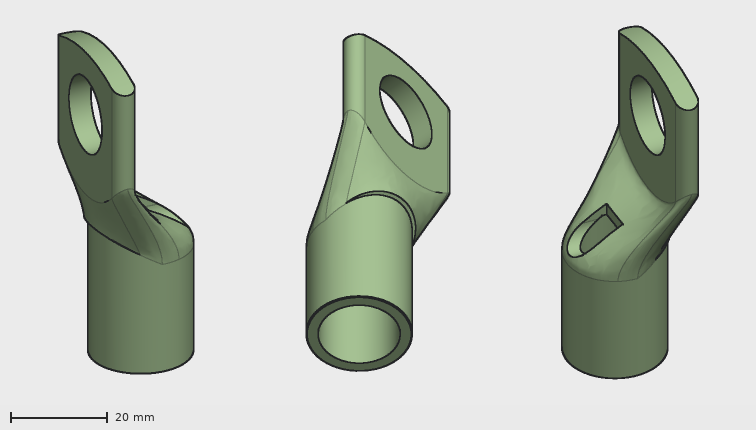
import cadquery as cq
import math

BARREL_RADIUS = 11.0
BARREL_HEIGHT = 25.0
TOP_SLOPE_ANGLE = math.radians(30)
BOTTOM_CHAMFER = 0.2

PALM_HALF_WIDTH = 16.0
PALM_THICKNESS = 5.0
PALM_FRONT_Y = -12.5
PALM_BACK_Y = PALM_FRONT_Y + PALM_THICKNESS
PALM_MIDDLE_Y = PALM_FRONT_Y + PALM_THICKNESS / 2
EDGE_RADIUS = PALM_THICKNESS / 2
FLAT_HALF_WIDTH = PALM_HALF_WIDTH - EDGE_RADIUS
TOTAL_HEIGHT = 71.57
TOP_ARCH_RADIUS = 40.0
LOWER_ARCH_RADIUS = 20.0
LOWER_ARCH_BOTTOM_Z = 38.7
STUD_HOLE_RADIUS = 8.5
STUD_HOLE_Z = 57.1

BACK_SEAM_ANGLE = math.radians(22)
FRONT_SEAM_ANGLE = math.radians(-25)
FRONT_LIP_Y = -11.8

BACK_START_PULL = 20.0
BACK_END_PULL = 8.0
FRONT_PULL = 4.0

TRANSITION_SECTIONS = 5
POINTS_PER_EDGE = 9
SEWING_TOLERANCE = 0.01

WALL = PALM_THICKNESS / 2
BORE_RADIUS = BARREL_RADIUS - WALL
SLOT_HALF_WIDTH = 4.0
SLOT_BOTTOM_Z = 27.0
BORE_TOP_Z = 31.5
BORE_SHOULDER_Z = 26.4
BORE_SLOPE_END_Y = 1.0


def barrel_top_z(y):
    """Height of the barrel top at depth y."""
    return BARREL_HEIGHT + math.tan(TOP_SLOPE_ANGLE) * max(0.0, -y)


def barrel_rim_point(angle):
    """Point of the barrel rim at an angle around the axis."""
    y = BARREL_RADIUS * math.sin(angle)
    return cq.Vector(BARREL_RADIUS * math.cos(angle), y, barrel_top_z(y))


def front_lip_point(fraction):
    """Point of the lip, an arc in the sloped plane that overhangs the barrel, from right to left."""
    seam = barrel_rim_point(FRONT_SEAM_ANGLE)
    rise = (seam.y - FRONT_LIP_Y) / math.cos(TOP_SLOPE_ANGLE)
    radius = (seam.x**2 + rise**2) / (2 * rise)
    start = math.atan2(radius - rise, seam.x)
    angle = start + fraction * (math.pi - 2 * start)
    y = FRONT_LIP_Y + radius * (1 - math.sin(angle)) * math.cos(TOP_SLOPE_ANGLE)
    return cq.Vector(radius * math.cos(angle), y, barrel_top_z(y))


def palm_point(x, y):
    """Point of the palm outline on its lower arch."""
    drop = math.sqrt(LOWER_ARCH_RADIUS**2 - x**2)
    return cq.Vector(x, y, LOWER_ARCH_BOTTOM_Z + LOWER_ARCH_RADIUS - drop)


def palm_edge_point(angle):
    """Point of the half-round right edge of the palm, on the lower arch."""
    x = FLAT_HALF_WIDTH + EDGE_RADIUS * math.cos(angle)
    return palm_point(x, PALM_MIDDLE_Y + EDGE_RADIUS * math.sin(angle))


def back_pair(fraction):
    """Matching barrel and palm points of the back face, from left to right."""
    angle = math.pi - BACK_SEAM_ANGLE + fraction * (2 * BACK_SEAM_ANGLE - math.pi)
    return barrel_rim_point(angle), palm_point(FLAT_HALF_WIDTH * (2 * fraction - 1), PALM_BACK_Y)


def back_side_pair(fraction):
    """Matching points of the right side, from the back seam to the middle."""
    rest = 1 - fraction
    return barrel_rim_point(BACK_SEAM_ANGLE * rest), palm_edge_point(math.pi / 2 * rest)


def front_side_pair(fraction):
    """Matching points of the right side, from the middle to the front seam."""
    return barrel_rim_point(FRONT_SEAM_ANGLE * fraction), palm_edge_point(-math.pi / 2 * fraction)


def front_pair(fraction):
    """Matching points of the front face, from right to left."""
    return front_lip_point(fraction), palm_point(FLAT_HALF_WIDTH * (1 - 2 * fraction), PALM_FRONT_Y)


def mirrored(pair_function):
    """The same stretch on the left side, run in the opposite direction."""
    def pair(fraction):
        start, end = pair_function(1 - fraction)
        return cq.Vector(-start.x, start.y, start.z), cq.Vector(-end.x, end.y, end.z)
    return pair


OUTLINE = [
    back_pair,
    back_side_pair,
    front_side_pair,
    front_pair,
    mirrored(front_side_pair),
    mirrored(back_side_pair),
]


def blend(start, end, t):
    """Cubic path that leaves the barrel and meets the palm along Z, more strongly at the back."""
    frontness = min(1.0, max(0.0, start.y / barrel_rim_point(FRONT_SEAM_ANGLE).y))
    start_pull = BACK_START_PULL + frontness * (FRONT_PULL - BACK_START_PULL)
    end_pull = BACK_END_PULL + frontness * (FRONT_PULL - BACK_END_PULL)
    end_weight = t * t * (3 - 2 * t)
    lift = start_pull * t * (1 - t) ** 2 - end_pull * t * t * (1 - t)
    return start * (1 - end_weight) + end * end_weight + cq.Vector(0, 0, lift)


def section_edges(t):
    """Closed row of edges across the transition, from the barrel (0) to the palm (1)."""
    edges = []
    for pair_function in OUTLINE:
        pairs = [pair_function(i / (POINTS_PER_EDGE - 1)) for i in range(POINTS_PER_EDGE)]
        edges.append(cq.Edge.makeSpline([blend(start, end, t) for start, end in pairs]))
    return edges


def make_palm_plate():
    """Plate between its lower and upper arches, its long edges split at mid-thickness."""
    bulge = EDGE_RADIUS * math.sqrt(0.5)
    bulge_x = FLAT_HALF_WIDTH + bulge
    bulge_front_y = PALM_MIDDLE_Y - bulge
    bulge_back_y = PALM_MIDDLE_Y + bulge
    plate = (
        cq.Workplane("XY")
        .moveTo(-FLAT_HALF_WIDTH, PALM_FRONT_Y)
        .lineTo(FLAT_HALF_WIDTH, PALM_FRONT_Y)
        .threePointArc((bulge_x, bulge_front_y), (PALM_HALF_WIDTH, PALM_MIDDLE_Y))
        .threePointArc((bulge_x, bulge_back_y), (FLAT_HALF_WIDTH, PALM_BACK_Y))
        .lineTo(-FLAT_HALF_WIDTH, PALM_BACK_Y)
        .threePointArc((-bulge_x, bulge_back_y), (-PALM_HALF_WIDTH, PALM_MIDDLE_Y))
        .threePointArc((-bulge_x, bulge_front_y), (-FLAT_HALF_WIDTH, PALM_FRONT_Y))
        .close()
        .extrude(TOTAL_HEIGHT)
    )

    lower_corner_z = palm_point(PALM_HALF_WIDTH, PALM_MIDDLE_Y).z
    upper_corner_z = TOTAL_HEIGHT - TOP_ARCH_RADIUS + math.sqrt(TOP_ARCH_RADIUS**2 - PALM_HALF_WIDTH**2)
    arches = (
        cq.Workplane("XZ")
        .moveTo(-PALM_HALF_WIDTH, lower_corner_z)
        .threePointArc((0, LOWER_ARCH_BOTTOM_Z), (PALM_HALF_WIDTH, lower_corner_z))
        .lineTo(PALM_HALF_WIDTH, upper_corner_z)
        .threePointArc((0, TOTAL_HEIGHT), (-PALM_HALF_WIDTH, upper_corner_z))
        .close()
        .extrude(-PALM_FRONT_Y)
    )
    return plate.intersect(arches, clean=False)


def make_transition_and_palm():
    """Solid from the barrel rim to the palm top: lofted skin, palm faces and rim caps."""
    rows = [section_edges(i / (TRANSITION_SECTIONS - 1)) for i in range(TRANSITION_SECTIONS)]
    wires = [cq.Wire.assembleEdges(row) for row in rows]
    skin = cq.occ_impl.shapes.loft(wires, cap=False)

    back, right_back, right_front, front, left_front, left_back = rows[0]
    middle = cq.Edge.makeLine(right_back.endPoint(), left_back.startPoint())
    flat_cap = cq.Face.makeFromWires(cq.Wire.assembleEdges([back, right_back, middle, left_back]))
    slope_cap = cq.Face.makeFromWires(cq.Wire.assembleEdges([right_front, front, left_front, middle]))

    palm = make_palm_plate()
    lower_arch_face = palm.faces("<Z").val()
    palm_faces = [face for face in palm.faces().vals() if not face.isSame(lower_arch_face)]
    faces = skin.Faces() + [flat_cap, slope_cap] + palm_faces
    shell = cq.occ_impl.shapes.shell(*faces, tol=SEWING_TOLERANCE)
    return cq.Workplane(cq.Solid.makeSolid(shell))


def make_barrel():
    """Round barrel under the rim, with a chamfered bottom edge."""
    side = (
        cq.Workplane("YZ")
        .moveTo(-BARREL_RADIUS, 0)
        .lineTo(BARREL_RADIUS, 0)
        .lineTo(BARREL_RADIUS, BARREL_HEIGHT)
        .lineTo(0, BARREL_HEIGHT)
        .lineTo(-BARREL_RADIUS, barrel_top_z(-BARREL_RADIUS))
        .close()
        .extrude(BARREL_RADIUS, both=True)
    )
    cylinder = cq.Workplane("XY").circle(BARREL_RADIUS).extrude(TOTAL_HEIGHT)
    return cylinder.faces("<Z").chamfer(BOTTOM_CHAMFER).intersect(side)


def make_bore():
    """Bore from the bottom, closed by a sloped ceiling that follows the transition."""
    ceiling = (
        cq.Workplane("YZ")
        .moveTo(-BORE_RADIUS, 0)
        .lineTo(BORE_RADIUS, 0)
        .lineTo(BORE_RADIUS, BORE_SHOULDER_Z)
        .lineTo(BORE_SLOPE_END_Y, BORE_TOP_Z)
        .lineTo(-BORE_RADIUS, BORE_TOP_Z)
        .close()
        .extrude(BORE_RADIUS, both=True)
    )
    return cq.Workplane("XY").circle(BORE_RADIUS).extrude(TOTAL_HEIGHT).intersect(ceiling)


def make_inspection_slot():
    """Round-bottomed slot, open upward, from the barrel axis out through the back."""
    shoulder_z = SLOT_BOTTOM_Z + SLOT_HALF_WIDTH
    return (
        cq.Workplane("XZ")
        .moveTo(-SLOT_HALF_WIDTH, TOTAL_HEIGHT)
        .lineTo(-SLOT_HALF_WIDTH, shoulder_z)
        .threePointArc((0, SLOT_BOTTOM_Z), (SLOT_HALF_WIDTH, shoulder_z))
        .lineTo(SLOT_HALF_WIDTH, TOTAL_HEIGHT)
        .close()
        .extrude(-BARREL_RADIUS)
    )


def make_stud_hole():
    """Hole through the palm."""
    return (
        cq.Workplane("XZ")
        .center(0, STUD_HOLE_Z)
        .circle(STUD_HOLE_RADIUS)
        .extrude(-PALM_FRONT_Y)
    )


outer_body = make_transition_and_palm().union(make_barrel(), tol=SEWING_TOLERANCE).clean()
result = (
    outer_body
    .cut(make_bore())
    .cut(make_inspection_slot())
    .cut(make_stud_hole())
    .solids()
)